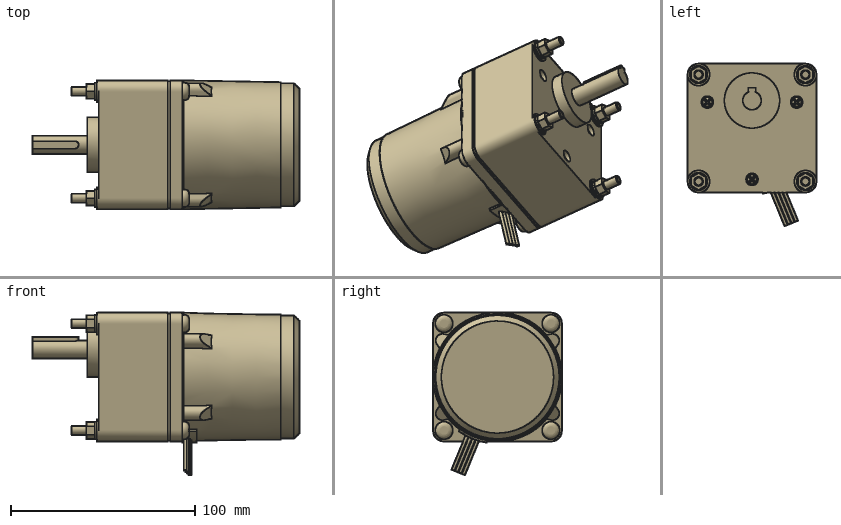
import cadquery as cq
import math


STUD_TIP_X = 21.0
NUT_X = 29.3
SPRING_WASHER_X = 33.8
WASHER_X = 35.0
GEARBOX_FACE_X = 36.0
GEARBOX_END_X = 73.4
FLANGE_X = 74.7
FLANGE_END_X = 81.2
MOTOR_X = 82.0
END_CAP_X = 134.8
CHAMFER_X = 142.0
MOTOR_END_X = 145.0

BODY_SIDE = 70.0
STUD_OFFSET = 29.0
CORNER_RADIUS = BODY_SIDE / 2 - STUD_OFFSET
JOINT_RECESS = 0.5

SHAFT_Z = 15.0
SHAFT_DIAMETER = 10.0
BOSS_X = 29.7
BOSS_DIAMETER = 30.0
KEY_WIDTH = 4.0
KEY_LENGTH = 25.1
KEY_TOP = 6.8

STUD_DIAMETER = 5.0
STUD_CHAMFER = 0.5
NUT_CORNER_DIAMETER = 9.3
SPRING_WASHER_DIAMETER = 9.5
BOLT_HEAD_DIAMETER = 9.5
BOLT_HEAD_HEIGHT = 3.9
BOLT_HEAD_ROUND = 2.5

SCREW_PLACES = [(-24.2, 14.0), (24.2, 14.0), (0, -27.8)]
SCREW_HOLE_DIAMETER = 6.5
SCREW_HOLE_DEPTH = 4.0
SCREW_HEAD_DIAMETER = 5.2
SCREW_HEAD_HEIGHT = 2.0
SCREW_HEAD_ROUND = 1.5
CROSS_LENGTH = 4.0
CROSS_WIDTH = 0.7
CROSS_DEPTH = 0.9

MOTOR_NECK_RADIUS = 34.5
MOTOR_FRONT_RADIUS = BODY_SIDE / 2
MOTOR_REAR_RADIUS = 34.1
END_CAP_RADIUS = 33.5
MOTOR_END_RADIUS = 30.5

RIB_ANGLE = 33.5
RIB_CENTRE_RADIUS = 35.8
RIB_ROUND = 3.6
RIB_FLANK_ANGLE = 20
RIB_FOOT_RADIUS = 29.0
RIB_SURFACE_X = 96.7
RIB_CROWN_X = 90.9

CABLE_ANGLE = 22.4
OUTLET_RADIUS = 36.1
OUTLET_WIDTH = 16.2
OUTLET_LENGTH = 8.0
WIRE_COUNT = 4
WIRE_DIAMETER = 1.9
WIRE_PITCH = 2.0
WIRE_STEP_X = 0.9
FIRST_WIRE_X = 83.0
WIRE_END_RADIUS = 56.0
ROOT_RADIUS = 30.5


def plane_at(x):
    """YZ sketch plane at x, facing +X."""
    return cq.Workplane("YZ", origin=(x, 0, 0))


def disc(x_start, x_end, diameter, y=0, z=0):
    """Cylinder along X."""
    return plane_at(x_start).center(y, z).circle(diameter / 2).extrude(x_end - x_start)


def block(x_start, x_end, side, corner_radius):
    """Square slab with rounded long edges."""
    return plane_at(x_start).rect(side, side).extrude(x_end - x_start).edges("|X").fillet(corner_radius)


def turn(shape, degrees):
    """Rotate a shape about the motor axis."""
    return shape.rotate((0, 0, 0), (1, 0, 0), degrees)


def gearbox():
    gear_case = block(GEARBOX_FACE_X, GEARBOX_END_X, BODY_SIDE, CORNER_RADIUS)
    joint = block(GEARBOX_END_X, FLANGE_X, BODY_SIDE - 2 * JOINT_RECESS, CORNER_RADIUS - JOINT_RECESS)
    flange = block(FLANGE_X, FLANGE_END_X, BODY_SIDE, CORNER_RADIUS)
    return gear_case.union(joint).union(flange)


def output_shaft():
    boss = disc(BOSS_X, GEARBOX_FACE_X, BOSS_DIAMETER, z=SHAFT_Z)
    shaft = disc(0, GEARBOX_FACE_X, SHAFT_DIAMETER, z=SHAFT_Z)
    key = (
        cq.Workplane("XY", origin=(0, 0, SHAFT_Z))
        .moveTo(0, -KEY_WIDTH / 2)
        .lineTo(KEY_LENGTH - KEY_WIDTH / 2, -KEY_WIDTH / 2)
        .threePointArc((KEY_LENGTH, 0), (KEY_LENGTH - KEY_WIDTH / 2, KEY_WIDTH / 2))
        .lineTo(0, KEY_WIDTH / 2)
        .close()
        .extrude(KEY_TOP)
    )
    return boss.union(shaft).union(key)


def through_bolt(y, z):
    stud = disc(STUD_TIP_X, GEARBOX_FACE_X, STUD_DIAMETER, y, z).faces("<X").chamfer(STUD_CHAMFER)
    nut = (
        plane_at(NUT_X)
        .polygon(6, NUT_CORNER_DIAMETER)
        .extrude(SPRING_WASHER_X - NUT_X)
        .rotate((0, 0, 0), (1, 0, 0), 90)
        .translate((0, y, z))
    )
    spring_washer = disc(SPRING_WASHER_X, WASHER_X, SPRING_WASHER_DIAMETER, y, z)
    washer = disc(WASHER_X, GEARBOX_FACE_X, 2 * CORNER_RADIUS, y, z)
    head = disc(FLANGE_END_X, FLANGE_END_X + BOLT_HEAD_HEIGHT, BOLT_HEAD_DIAMETER, y, z)
    head = head.faces(">X").edges().fillet(BOLT_HEAD_ROUND)
    return stud.union(nut).union(spring_washer).union(washer).union(head)


def screw_hole(y, z):
    return disc(GEARBOX_FACE_X, GEARBOX_FACE_X + SCREW_HOLE_DEPTH, SCREW_HOLE_DIAMETER, y, z)


def screw_head(y, z):
    floor_x = GEARBOX_FACE_X + SCREW_HOLE_DEPTH
    top_x = floor_x - SCREW_HEAD_HEIGHT
    head = disc(top_x, floor_x, SCREW_HEAD_DIAMETER).faces("<X").edges().fillet(SCREW_HEAD_ROUND)
    for angle in (45, -45):
        slot = plane_at(top_x).rect(CROSS_LENGTH, CROSS_WIDTH).extrude(CROSS_DEPTH)
        head = head.cut(turn(slot, angle))
    return head.translate((0, y, z))


def motor():
    profile = [
        (FLANGE_END_X, 0),
        (FLANGE_END_X, MOTOR_NECK_RADIUS),
        (MOTOR_X, MOTOR_NECK_RADIUS),
        (MOTOR_X, MOTOR_FRONT_RADIUS),
        (END_CAP_X, MOTOR_REAR_RADIUS),
        (END_CAP_X, END_CAP_RADIUS),
        (CHAMFER_X, END_CAP_RADIUS),
        (MOTOR_END_X, MOTOR_END_RADIUS),
        (MOTOR_END_X, 0),
    ]
    return cq.Workplane("XY").polyline(profile).close().revolve(360, (0, 0, 0), (1, 0, 0))


def rib():
    """Rib on the +Y side: tapered flanks, a round crown and a sloping rear end."""
    flank = math.radians(RIB_FLANK_ANGLE)
    tangent_y = RIB_CENTRE_RADIUS + RIB_ROUND * math.sin(flank)
    tangent_z = RIB_ROUND * math.cos(flank)
    foot_z = tangent_z + (tangent_y - RIB_FOOT_RADIUS) * math.tan(flank)
    crown = RIB_CENTRE_RADIUS + RIB_ROUND
    slope = (RIB_SURFACE_X - RIB_CROWN_X) / (crown - MOTOR_FRONT_RADIUS)
    foot_x = RIB_SURFACE_X + slope * (MOTOR_FRONT_RADIUS - RIB_FOOT_RADIUS)

    section = (
        plane_at(MOTOR_X)
        .moveTo(RIB_FOOT_RADIUS, -foot_z)
        .lineTo(tangent_y, -tangent_z)
        .threePointArc((crown, 0), (tangent_y, tangent_z))
        .lineTo(RIB_FOOT_RADIUS, foot_z)
        .close()
        .extrude(foot_x - MOTOR_X)
    )
    side_outline = (
        cq.Workplane("XY")
        .moveTo(MOTOR_X, RIB_FOOT_RADIUS)
        .lineTo(foot_x, RIB_FOOT_RADIUS)
        .lineTo(RIB_CROWN_X, crown)
        .lineTo(MOTOR_X, crown)
        .close()
        .extrude(foot_z, both=True)
    )
    return section.intersect(side_outline)


def cable():
    """Curved outlet pad with a slanted row of wires, built downwards and then turned towards -Y."""
    pad_depth = OUTLET_RADIUS - ROOT_RADIUS
    pad = (
        plane_at(FLANGE_END_X)
        .center(0, -ROOT_RADIUS - pad_depth / 2)
        .rect(OUTLET_WIDTH, pad_depth)
        .extrude(OUTLET_LENGTH)
    )
    leads = pad.intersect(disc(FLANGE_END_X, FLANGE_END_X + OUTLET_LENGTH, 2 * OUTLET_RADIUS))
    for i in range(WIRE_COUNT):
        x = FIRST_WIRE_X + i * WIRE_STEP_X
        y = (i - (WIRE_COUNT - 1) / 2) * WIRE_PITCH
        wire = (
            cq.Workplane("XY", origin=(x, y, -WIRE_END_RADIUS))
            .circle(WIRE_DIAMETER / 2)
            .extrude(WIRE_END_RADIUS - ROOT_RADIUS)
        )
        leads = leads.union(wire)
    return turn(leads, -CABLE_ANGLE)


result = gearbox().union(output_shaft()).union(motor())

for y_side in (-1, 1):
    for z_side in (-1, 1):
        result = result.union(through_bolt(y_side * STUD_OFFSET, z_side * STUD_OFFSET))

for angle in (RIB_ANGLE, 180 - RIB_ANGLE, 180 + RIB_ANGLE, -RIB_ANGLE):
    result = result.union(turn(rib(), angle))

result = result.union(cable())

for screw_y, screw_z in SCREW_PLACES:
    result = result.cut(screw_hole(screw_y, screw_z)).union(screw_head(screw_y, screw_z))